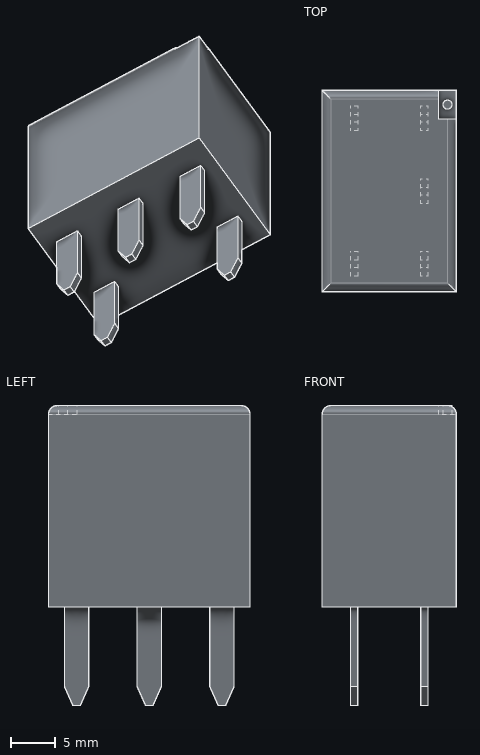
import cadquery as cq

body_x = 15.0
body_y = 22.5
total_height = 33.5
body_height = 22.5
rim_radius = 1.0

notch_x = 2.0
notch_y = 3.2
notch_depth = 1.0
post_diameter = 1.0

blade_length = total_height - body_height
blade_thickness = 0.85
blade_width = 2.75
tip_width = 0.85
tip_length = 2.15
row_spacing = 7.85
blade_pitch = 8.1


def make_housing():
    box = cq.Workplane("XY").box(body_x, body_y, body_height, centered=(True, True, False))
    return box.faces(">Z").edges().fillet(rim_radius)


def make_notch_and_post():
    """Return the corner cutter and the post that fills its middle up to the top face."""
    center_x = (body_x - notch_x) / 2
    center_y = (body_y - notch_y) / 2
    floor = cq.Workplane("XY", origin=(center_x, center_y, body_height - notch_depth))
    notch = floor.rect(notch_x, notch_y).extrude(notch_depth)
    post = floor.circle(post_diameter / 2).extrude(notch_depth)
    return notch, post


def make_blade(x, y):
    """Blade lying in a YZ plane, tapering to a blunt tip."""
    outline = [
        (-blade_width / 2, 0),
        (-blade_width / 2, tip_length - blade_length),
        (-tip_width / 2, -blade_length),
        (tip_width / 2, -blade_length),
        (blade_width / 2, tip_length - blade_length),
        (blade_width / 2, 0),
    ]
    plane = cq.Workplane("YZ", origin=(x, y, 0))
    return plane.polyline(outline).close().extrude(blade_thickness / 2, both=True)


notch, post = make_notch_and_post()
result = make_housing().cut(notch).union(post)

blade_places = [(side_x, side_y) for side_x in (-1, 1) for side_y in (-1, 1)]
blade_places.append((1, 0))
for side_x, step_y in blade_places:
    result = result.union(make_blade(side_x * row_spacing / 2, step_y * blade_pitch))